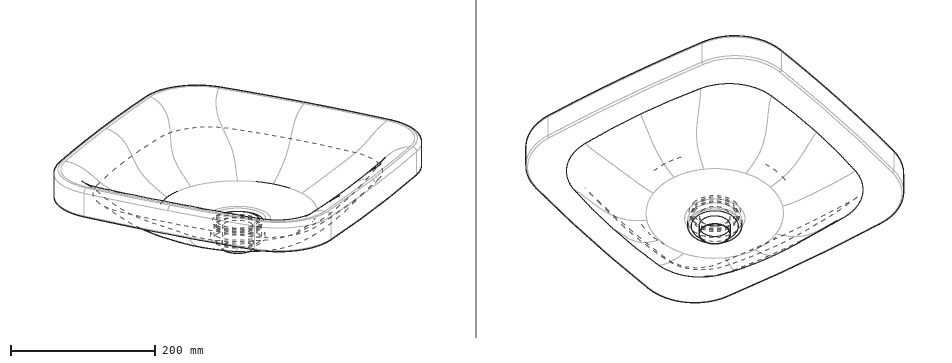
import cadquery as cq
import math


rim_half_width = 215.0
rim_corner_start = 132.5
rim_bow = 3.0
rim_height = 42.5
rim_top_round = 6.0
rim_bottom_round = 2.5

round_bow = 27.0
floor_edge_radius = 45.5
floor_edge_z = -97.5
inner_sections = [
    (0.0, 204.5, 131.0, 2.5),
    (-5.0, 188.5, 126.5, 3.0),
    (-15.0, 176.5, 120.5, 4.0),
    (-36.5, 163.0, 104.0, 6.0),
    (-59.5, 147.5, 80.0, 10.0),
    (-69.5, 135.5, 69.0, 14.0),
    (-78.5, 121.5, 58.5, 20.0),
]
inner_floor = [(-86.0, 110.5), (-93.0, 77.5), (floor_edge_z, floor_edge_radius)]

boss_diameter = 75.5
boss_top_z = -112.5
boss_bottom_z = -126.5
boss_top_round = 4.5
boss_edge_round = 1.5
bore_diameter = 65.5
throat_diameter = 71.5
throat_depth = 3.5
throat_round = 3.5

outer_sections = [
    (-38.5, 179.0, 101.0, 5.0),
    (-59.5, 160.5, 86.0, 8.0),
    (-84.0, 138.0, 64.5, 12.0),
    (-95.0, 121.3, 54.0, 18.0),
]
outer_floor = [(-103.0, 95.5), (-109.0, 71.5), (boss_top_z, boss_diameter / 2)]

pipe_diameter = 44.0
pipe_bore = 42.0
pipe_bottom_z = -140.5
disc_top_z = -108.5

plug_diameter = 60.0
plug_edge_z = -99.0
plug_crown_z = -93.0


def bowed_square(z, half_width, corner_start, bow):
    """Closed outline of four bowed sides joined tangentially by four corner arcs."""
    angle = math.radians(bow)
    side_radius = corner_start / math.sin(angle)
    side_centre = half_width - side_radius
    corner_side = side_centre + side_radius * math.cos(angle)
    corner_radius = (corner_side - corner_start) / (math.cos(angle) - math.sin(angle))
    corner_centre = corner_start - corner_radius * math.sin(angle)
    corner_bulge = corner_centre + corner_radius * math.sqrt(0.5)
    side_bulge_x = side_centre + side_radius * math.cos(angle / 2)
    side_bulge_y = side_radius * math.sin(angle / 2)

    side_middle = cq.Vector(half_width, 0, z)
    side_end = cq.Vector(corner_side, corner_start, z)
    next_side_end = cq.Vector(corner_start, corner_side, z)
    next_side_middle = cq.Vector(0, half_width, z)
    quarter = [
        cq.Edge.makeThreePointArc(side_middle, cq.Vector(side_bulge_x, side_bulge_y, z), side_end),
        cq.Edge.makeThreePointArc(side_end, cq.Vector(corner_bulge, corner_bulge, z), next_side_end),
        cq.Edge.makeThreePointArc(next_side_end, cq.Vector(side_bulge_y, side_bulge_x, z), next_side_middle),
    ]
    edges = []
    for turn in range(4):
        edges += [edge.rotate(cq.Vector(), cq.Vector(0, 0, 1), 90 * turn) for edge in quarter]
    return cq.Wire.assembleEdges(edges)


def round_outline(z, radius):
    """Circle split into the same arcs as a bowed square."""
    return bowed_square(z, radius, radius * math.sin(math.radians(round_bow)), round_bow)


def basin_form(square_sections, floor):
    """Smooth solid from bowed squares at the top to a circle, closed by a dished round floor."""
    start_z, start_radius = floor[0]
    outlines = [bowed_square(*section) for section in square_sections]
    outlines.append(round_outline(start_z, start_radius))
    sides = cq.Workplane(cq.Solid.makeLoft(outlines))
    (middle_z, middle_radius), (end_z, end_radius) = floor[1:]
    dish = (
        cq.Workplane("XZ")
        .moveTo(0, start_z)
        .lineTo(start_radius, start_z)
        .threePointArc((middle_radius, middle_z), (end_radius, end_z))
        .lineTo(0, end_z)
        .close()
        .revolve(360, (0, 0), (0, 1))
    )
    return sides.union(dish)


def disc(diameter, bottom_z, top_z):
    return cq.Workplane().workplane(offset=bottom_z).circle(diameter / 2).extrude(top_z - bottom_z)


def make_rim():
    outline = bowed_square(-rim_height, rim_half_width, rim_corner_start, rim_bow)
    block = cq.Workplane(cq.Solid.extrudeLinear(outline, [], cq.Vector(0, 0, rim_height)))
    return block.faces(">Z").edges().fillet(rim_top_round).faces("<Z").edges().fillet(rim_bottom_round)


def make_outlet():
    """Opening with a rounded mouth, a tapering throat and a straight bore."""
    throat_top = floor_edge_z - throat_round
    throat_bottom = throat_top - throat_depth
    mouth_radius = throat_diameter / 2 + throat_round
    bend = throat_round * math.sqrt(0.5)
    return (
        cq.Workplane("XZ")
        .moveTo(0, floor_edge_z)
        .lineTo(mouth_radius, floor_edge_z)
        .threePointArc((mouth_radius - bend, throat_top + bend), (throat_diameter / 2, throat_top))
        .lineTo(bore_diameter / 2, throat_bottom)
        .lineTo(bore_diameter / 2, boss_bottom_z)
        .lineTo(0, boss_bottom_z)
        .close()
        .revolve(360, (0, 0), (0, 1))
    )


def make_underside():
    """Outer form of the basin with the outlet boss blended into it."""
    boss = disc(boss_diameter, boss_bottom_z, boss_top_z).faces("<Z").edges().fillet(boss_edge_round)
    body = basin_form(outer_sections, outer_floor).union(boss)
    reach = boss_diameter
    margin = 0.5
    joint = cq.selectors.BoxSelector(
        (-reach, -reach, boss_top_z - margin), (reach, reach, boss_top_z + margin)
    )
    return body.edges(joint).fillet(boss_top_round)


def make_bowl():
    hollow = basin_form(inner_sections, inner_floor)
    return make_rim().union(make_underside()).cut(hollow).cut(make_outlet())


def make_drain():
    seat = disc(bore_diameter, boss_bottom_z, disc_top_z)
    pipe = disc(pipe_diameter, pipe_bottom_z, disc_top_z)
    return seat.union(pipe).cut(disc(pipe_bore, pipe_bottom_z, disc_top_z))


def make_plug():
    radius = plug_diameter / 2
    dome_rise = plug_crown_z - plug_edge_z
    dome_radius = (radius**2 + dome_rise**2) / (2 * dome_rise)
    half_angle = math.asin(radius / dome_radius) / 2
    dome_mid_z = plug_crown_z - dome_radius * (1 - math.cos(half_angle))
    return (
        cq.Workplane("XZ")
        .moveTo(0, disc_top_z)
        .lineTo(radius, disc_top_z)
        .lineTo(radius, plug_edge_z)
        .threePointArc((dome_radius * math.sin(half_angle), dome_mid_z), (0, plug_crown_z))
        .close()
        .revolve(360, (0, 0), (0, 1))
    )


bowl = make_bowl()
drain = make_drain()
plug = make_plug()

result = cq.Compound.makeCompound([*bowl.solids().vals(), *drain.solids().vals(), plug.val()])